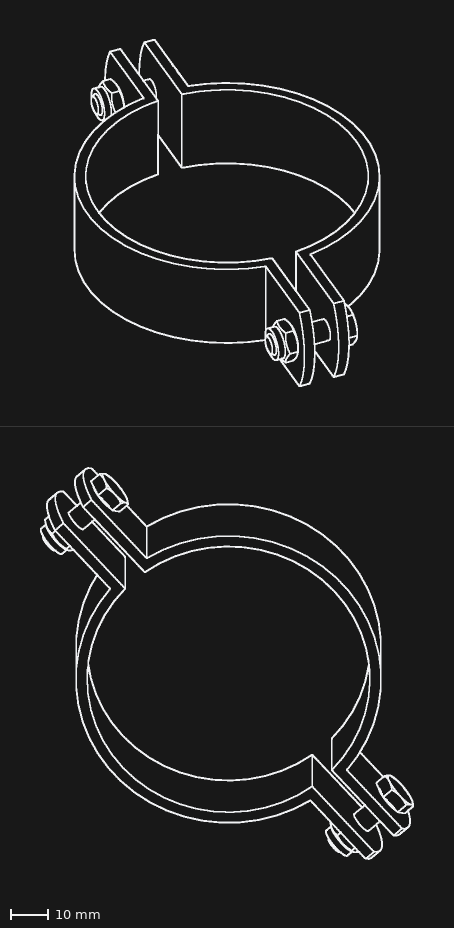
import cadquery as cq
import math

ring_radius = 40.9
strap_thickness = 3.0
strap_width = 25.0
gap = 7.0
ear_reach = 66.0
ear_end_radius = strap_width
hole_diameter = 6.0

bolt_offset = 57.5
shank_diameter = hole_diameter
tip_diameter = 4.9
tip_length = 0.9
hex_flats = 10.0
head_height = 4.0
washer_face_diameter = 8.7
washer_face_height = 0.4
nut_hex_height = 3.8
collar_diameter = 8.8
collar_height = 2.0
hex_chamfer_angle = math.radians(30)

ear_inner_y = gap / 2
ear_outer_y = ear_inner_y + strap_thickness
hex_corners = hex_flats / math.cos(math.radians(30))
envelope_radius = hex_flats
nut_height = nut_hex_height + collar_height


def cylinder_y(diameter, start_y, end_y):
    """Cylinder on the Y axis from start_y up to end_y."""
    plane = cq.Workplane("XZ", origin=(0, start_y, 0))
    return plane.circle(diameter / 2).extrude(start_y - end_y)


def hex_prism(start_y, end_y):
    """Plain hexagon prism, corners pointing along X, from start_y up to end_y."""
    plane = cq.Workplane("XZ", origin=(0, start_y, 0))
    return plane.polygon(6, hex_corners).extrude(start_y - end_y)


def chamfer_cone(face_diameter, face_y, inward):
    """Solid of revolution that bevels hexagon corners at face_y.

    The bevel starts at face_diameter and runs back along inward (+1 or -1 in Y).
    """
    face_radius = face_diameter / 2
    rise = (envelope_radius - face_radius) * math.tan(hex_chamfer_angle)
    profile = (
        cq.Workplane("XY")
        .moveTo(0, face_y)
        .lineTo(face_radius, face_y)
        .lineTo(envelope_radius, face_y + inward * rise)
        .lineTo(envelope_radius, face_y + inward * envelope_radius)
        .lineTo(0, face_y + inward * envelope_radius)
        .close()
    )
    return profile.revolve(360, (0, 0, 0), (0, 1, 0))


def make_upper_half():
    """Clamp half on the +Y side of the gap."""
    ring = cq.Workplane("XY").circle(ring_radius).extrude(strap_width / 2, both=True)
    ears = cq.Workplane("XY").box(2 * ear_reach, 2 * ear_outer_y, strap_width)
    bore = cq.Workplane("XY").circle(ring_radius - strap_thickness).extrude(strap_width / 2, both=True)
    half_space = cq.Workplane("XY").box(2 * ear_reach, ring_radius, strap_width)
    half_space = half_space.translate((0, ear_inner_y + ring_radius / 2, 0))
    half = ring.union(ears).cut(bore).intersect(half_space)

    corner_x = ear_reach - ear_end_radius + math.sqrt(ear_end_radius**2 - (strap_width / 2) ** 2)
    outline = (
        cq.Workplane("XZ")
        .moveTo(-corner_x, -strap_width / 2)
        .lineTo(corner_x, -strap_width / 2)
        .threePointArc((ear_reach, 0), (corner_x, strap_width / 2))
        .lineTo(-corner_x, strap_width / 2)
        .threePointArc((-ear_reach, 0), (-corner_x, -strap_width / 2))
        .close()
        .extrude(ring_radius, both=True)
    )
    half = half.intersect(outline)
    for side in (-1, 1):
        hole = cylinder_y(hole_diameter, 0, ring_radius)
        half = half.cut(hole.translate((side * bolt_offset, 0, 0)))
    return half


def make_bolt(x):
    """Hex bolt with its head on the +Y ear and its tapered tip beyond the nut."""
    head_top = ear_outer_y + head_height
    head_base = ear_outer_y + washer_face_height
    washer_face = cylinder_y(washer_face_diameter, ear_outer_y, head_base)
    head = hex_prism(head_base, head_top).intersect(chamfer_cone(hex_flats, head_top, -1))
    shank = cylinder_y(shank_diameter, -ear_outer_y - nut_height, ear_outer_y)
    tip = (
        cq.Workplane("XZ", origin=(0, -ear_outer_y - nut_height, 0))
        .circle(shank_diameter / 2)
        .workplane(offset=tip_length)
        .circle(tip_diameter / 2)
        .loft()
    )
    return head.union(washer_face).union(shank).union(tip).translate((x, 0, 0))


def make_nut(x):
    """Lock nut: a hexagon against the -Y ear with a round collar outside it."""
    hex_end = -ear_outer_y - nut_hex_height
    collar = cylinder_y(collar_diameter, -ear_outer_y - nut_height, hex_end)
    hexagon = (
        hex_prism(hex_end, -ear_outer_y)
        .intersect(chamfer_cone(collar_diameter, hex_end, 1))
        .intersect(chamfer_cone(collar_diameter, -ear_outer_y, -1))
    )
    nut = hexagon.union(collar)
    bore = cylinder_y(shank_diameter, -ear_outer_y - nut_height, -ear_outer_y)
    return nut.cut(bore).translate((x, 0, 0))


upper_half = make_upper_half()
lower_half = upper_half.mirror("XZ")
bolts = [make_bolt(side * bolt_offset) for side in (-1, 1)]
nuts = [make_nut(side * bolt_offset) for side in (-1, 1)]

result = cq.Compound.makeCompound(
    [upper_half.val(), lower_half.val()] + [fastener.val() for fastener in bolts + nuts]
)